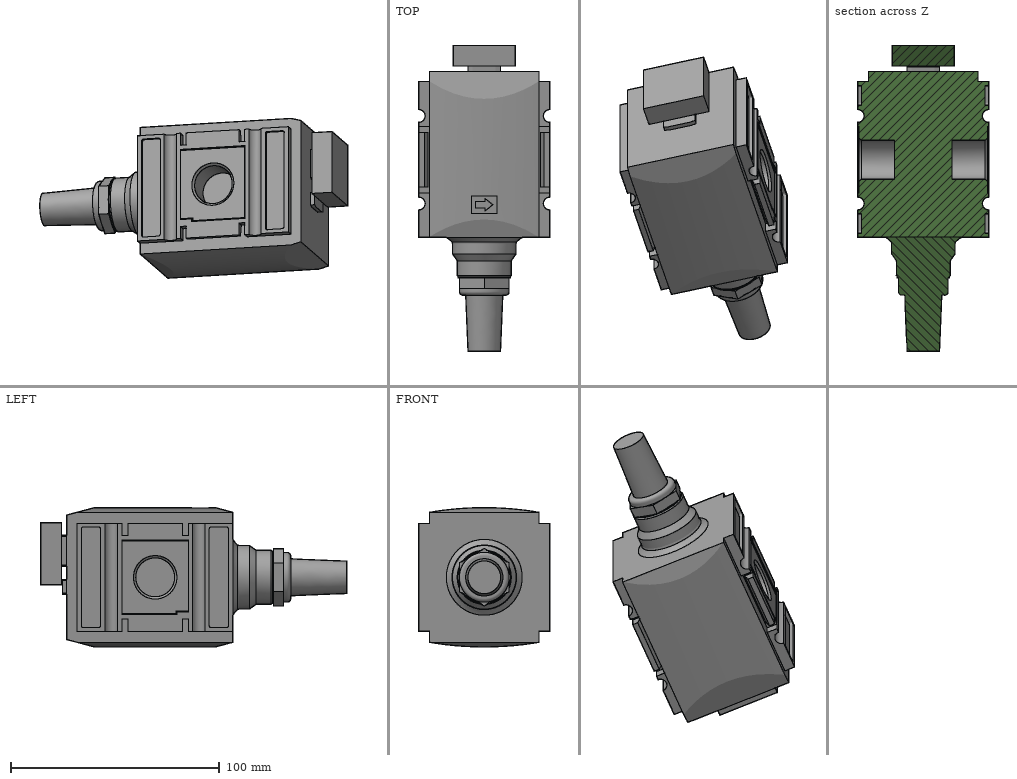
import cadquery as cq
import math


CORE_WIDTH = 52.8
CORE_HEIGHT = 62.5
HOUSING_HEIGHT = 67.1
HOUSING_LENGTH = 79.9
BEVEL_ANGLE = 15

HOUSING_WIDTH = 63.0
SLAB_LENGTH = 75.0
SLAB_HEIGHT = 51.9
SLAB_THICKNESS = (HOUSING_WIDTH - CORE_WIDTH) / 2
FACE_X = HOUSING_WIDTH / 2
PORT_Y = 37.4

GROOVE_DIAMETER = 6.0
GROOVE_SPACING = 42.0

END_POCKET_LENGTH = 9.3
END_POCKET_HEIGHT = 48.4
END_POCKET_SPACING = 61.5
END_POCKET_DEPTH = 1.8
END_POCKET_CORNER = 1.0

CLIP_LENGTH = 31.9
CLIP_SLOT_WIDTH = 2.8
CLIP_DEPTH = 5.9
TAB_TIP_THICKNESS = 2.6
TAB_ROOT_THICKNESS = 4.5

LABEL_HEIGHT = 35.9
LABEL_STEP_LENGTH = 5.6
LABEL_STEP_HEIGHT = 1.3
LABEL_LEDGE = 0.5
LABEL_LEDGE_DEPTH = 0.3
LABEL_DEPTH = 0.6

PORT_DIAMETER = 18.7
PORT_MOUTH_DIAMETER = 20.9
PORT_DEPTH = 17.7

PANEL_WIDTH = 12.0
PANEL_LENGTH = 8.5
PANEL_Y = 15.7
PANEL_DEPTH = 1.6
ARROW_DEPTH = 0.6
ARROW_LENGTH = 8.2
ARROW_HEAD_LENGTH = 3.7
ARROW_HEAD_WIDTH = 5.9
ARROW_SHAFT_WIDTH = 3.1

FOOT_HEIGHT = 7.2
FOOT_Z = -4.5
FOOT_LENGTH = 2.0

PAD_WIDTH = 15.7
PAD_FLAT_WIDTH = 11.0
PAD_CORNER_HEIGHT = 0.6

FLARE_DIAMETER = 36.5
FLARE_NECK_DIAMETER = 31.0
FLARE_LENGTH = 2.2
FLARE_SAG_DIAMETER = 33.2
FLARE_SAG_LENGTH = 1.2
COLLAR_DIAMETER = 30.6
COLLAR_START = 3.1
COLLAR_END = 8.0
SHOULDER_DIAMETER = 27.0
SHOULDER_END = 10.5
SLEEVE_START = 11.2
SLEEVE_CHAMFER_START = 18.2
SLEEVE_CHAMFER_END = 19.0
SLEEVE_DIAMETER = 26.0
SLEEVE_END_DIAMETER = 25.2
NUT_SIDES = 6
NUT_FLATS = 24.0
NUT_START = 19.4
NUT_LENGTH = 5.0
BUSH_DIAMETER = 24.0
BUSH_END = 27.8
BUSH_ROUNDING = 1.8
TIP_ROOT_DIAMETER = 18.0
TIP_END_DIAMETER = 15.7
REGULATOR_LENGTH = 54.7

PLUG_SIZE = 30.0
PLUG_THICKNESS = 10.0
PLUG_Z = 11.3
NECK_LENGTH = 2.5
NECK_HEIGHT = 15.0
NECK_Z = 12.8


def box(x_range, y_range, z_range):
    """Box between the given limits."""
    size = [high - low for low, high in (x_range, y_range, z_range)]
    return cq.Workplane("XY").box(*size, centered=False).translate((x_range[0], y_range[0], z_range[0]))


def make_core():
    """Domed block: the arched cross-section trimmed by the bevelled side profile."""
    half_width = CORE_WIDTH / 2
    wall_z = CORE_HEIGHT / 2
    crown_z = HOUSING_HEIGHT / 2
    arched = (
        cq.Workplane("XZ")
        .moveTo(-half_width, -wall_z)
        .lineTo(-half_width, wall_z)
        .threePointArc((0, crown_z), (half_width, wall_z))
        .lineTo(half_width, -wall_z)
        .threePointArc((0, -crown_z), (-half_width, -wall_z))
        .close()
        .extrude(-HOUSING_LENGTH)
    )
    slope = math.tan(math.radians(BEVEL_ANGLE))
    bevel_length = (crown_z - wall_z) / slope
    rear_z = wall_z - (HOUSING_LENGTH - SLAB_LENGTH) * slope
    upper_edge = [
        (0, wall_z),
        (bevel_length, crown_z),
        (SLAB_LENGTH - bevel_length, crown_z),
        (HOUSING_LENGTH, rear_z),
    ]
    lower_edge = [(y, -z) for y, z in reversed(upper_edge)]
    bevelled = cq.Workplane("YZ").polyline(upper_edge + lower_edge).close().extrude(half_width, both=True)
    return arched.intersect(bevelled)


def make_clip_cut():
    """Slots at both ends of the upper tab, and the wedge-shaped gap behind it."""
    top_z = SLAB_HEIGHT / 2
    floor_z = top_z - CLIP_DEPTH
    inner_x = CORE_WIDTH / 2
    gap = (
        cq.Workplane("XZ")
        .polyline([
            (inner_x, top_z),
            (FACE_X - TAB_TIP_THICKNESS, top_z),
            (FACE_X - TAB_ROOT_THICKNESS, floor_z),
            (inner_x, floor_z),
        ])
        .close()
        .extrude(CLIP_LENGTH / 2, both=True)
        .translate((0, PORT_Y, 0))
    )
    slot_offset = (CLIP_LENGTH - CLIP_SLOT_WIDTH) / 2
    for side in (-1, 1):
        slot_y = PORT_Y + side * slot_offset
        y_range = (slot_y - CLIP_SLOT_WIDTH / 2, slot_y + CLIP_SLOT_WIDTH / 2)
        gap = gap.union(box((inner_x, FACE_X), y_range, (floor_z, top_z)))
    return gap


def make_label_cut(ledge, depth):
    """Recess with a stepped lower corner, its top and bottom edges moved inward by the ledge."""
    front_y = PORT_Y - CLIP_LENGTH / 2
    rear_y = front_y + CLIP_LENGTH
    top_z = LABEL_HEIGHT / 2 - ledge
    step_y = front_y + LABEL_STEP_LENGTH + ledge
    step_z = LABEL_STEP_HEIGHT - top_z
    outline = [
        (front_y, top_z),
        (rear_y, top_z),
        (rear_y, -top_z),
        (step_y, -top_z),
        (step_y, step_z),
        (front_y, step_z),
    ]
    return cq.Workplane("YZ", origin=(FACE_X, 0, 0)).polyline(outline).close().extrude(-depth)


def make_slab():
    """Side slab on the +X wall, with grooves, pockets, clip tabs and label recess."""
    half_height = SLAB_HEIGHT / 2
    slab = box((FACE_X - SLAB_THICKNESS, FACE_X), (0, SLAB_LENGTH), (-half_height, half_height))
    grooves = (
        cq.Workplane("XY")
        .pushPoints([(FACE_X, PORT_Y + side * GROOVE_SPACING / 2) for side in (-1, 1)])
        .circle(GROOVE_DIAMETER / 2)
        .extrude(SLAB_HEIGHT, both=True)
    )
    end_pockets = (
        cq.Workplane("YZ", origin=(FACE_X, 0, 0))
        .pushPoints([(SLAB_LENGTH / 2 + side * END_POCKET_SPACING / 2, 0) for side in (-1, 1)])
        .rect(END_POCKET_LENGTH, END_POCKET_HEIGHT)
        .extrude(-END_POCKET_DEPTH)
        .edges("|X")
        .fillet(END_POCKET_CORNER)
    )
    clip_cut = make_clip_cut()
    return (
        slab.cut(grooves)
        .cut(end_pockets)
        .cut(clip_cut)
        .cut(clip_cut.mirror("XY"))
        .cut(make_label_cut(0, LABEL_LEDGE_DEPTH))
        .cut(make_label_cut(LABEL_LEDGE, LABEL_DEPTH))
    )


def make_port_cut():
    """Blind port with a chamfered mouth, opening through the +X slab."""
    floor_x = FACE_X - LABEL_DEPTH
    radius = PORT_DIAMETER / 2
    mouth_radius = PORT_MOUTH_DIAMETER / 2
    return (
        cq.Workplane("XY")
        .polyline([
            (FACE_X - PORT_DEPTH, 0),
            (FACE_X - PORT_DEPTH, radius),
            (floor_x - (mouth_radius - radius), radius),
            (floor_x, mouth_radius),
            (floor_x, 0),
        ])
        .close()
        .revolve(360, (0, 0, 0), (1, 0, 0))
        .translate((0, PORT_Y, 0))
    )


def make_arrow_cut():
    """Rectangular panel recess in the crown with a flow arrow sunk into its floor."""
    crown_z = HOUSING_HEIGHT / 2
    floor_z = crown_z - PANEL_DEPTH
    recess = box(
        (-PANEL_WIDTH / 2, PANEL_WIDTH / 2),
        (PANEL_Y - PANEL_LENGTH / 2, PANEL_Y + PANEL_LENGTH / 2),
        (floor_z, crown_z),
    )
    tail_x = -ARROW_LENGTH / 2
    tip_x = ARROW_LENGTH / 2
    neck_x = tip_x - ARROW_HEAD_LENGTH
    half_shaft = ARROW_SHAFT_WIDTH / 2
    half_head = ARROW_HEAD_WIDTH / 2
    arrow = (
        cq.Workplane("XY", origin=(0, PANEL_Y, floor_z))
        .polyline([
            (tail_x, -half_shaft),
            (neck_x, -half_shaft),
            (neck_x, -half_head),
            (tip_x, 0),
            (neck_x, half_head),
            (neck_x, half_shaft),
            (tail_x, half_shaft),
        ])
        .close()
        .extrude(-ARROW_DEPTH)
    )
    return recess.union(arrow)


def make_pad(start_y, middle_z, height, length):
    """Bar along +Y whose rectangular section has its four corners cut away."""
    half_width = PAD_WIDTH / 2
    half_flat = PAD_FLAT_WIDTH / 2
    half_height = height / 2
    shoulder = half_height - PAD_CORNER_HEIGHT
    return (
        cq.Workplane("XZ", origin=(0, start_y, middle_z))
        .polyline([
            (-half_width, -shoulder),
            (-half_width, shoulder),
            (-half_flat, half_height),
            (half_flat, half_height),
            (half_width, shoulder),
            (half_width, -shoulder),
            (half_flat, -half_height),
            (-half_flat, -half_height),
        ])
        .close()
        .extrude(-length)
    )


def make_housing():
    """Core with matching slabs and ports on both sides, and a foot on the rear face."""
    slab = make_slab()
    foot = make_pad(HOUSING_LENGTH, FOOT_Z, FOOT_HEIGHT, FOOT_LENGTH)
    port_cut = make_port_cut()
    return (
        make_core()
        .union(slab)
        .union(slab.mirror("YZ"))
        .union(foot)
        .cut(port_cut)
        .cut(port_cut.mirror("YZ"))
        .cut(make_arrow_cut())
    )


def make_regulator():
    """Turned body with a hexagon nut and a tapered tip, pointing along -Y."""
    flare_middle = (FLARE_SAG_DIAMETER / 2, -FLARE_SAG_LENGTH)
    collar_radius = COLLAR_DIAMETER / 2
    sleeve_radius = SLEEVE_DIAMETER / 2
    sleeve_end_radius = SLEEVE_END_DIAMETER / 2
    bush_radius = BUSH_DIAMETER / 2
    bush_face_radius = bush_radius - BUSH_ROUNDING
    rounding_start = BUSH_END - BUSH_ROUNDING
    rounding_diagonal = BUSH_ROUNDING * math.sqrt(0.5)
    rounding_middle = (bush_face_radius + rounding_diagonal, -rounding_start - rounding_diagonal)
    turned = (
        cq.Workplane("XY")
        .moveTo(0, 0)
        .lineTo(FLARE_DIAMETER / 2, 0)
        .threePointArc(flare_middle, (FLARE_NECK_DIAMETER / 2, -FLARE_LENGTH))
        .lineTo(collar_radius, -COLLAR_START)
        .lineTo(collar_radius, -COLLAR_END)
        .lineTo(SHOULDER_DIAMETER / 2, -SHOULDER_END)
        .lineTo(sleeve_radius, -SLEEVE_START)
        .lineTo(sleeve_radius, -SLEEVE_CHAMFER_START)
        .lineTo(sleeve_end_radius, -SLEEVE_CHAMFER_END)
        .lineTo(sleeve_end_radius, -NUT_START)
        .lineTo(bush_radius, -NUT_START)
        .lineTo(bush_radius, -rounding_start)
        .threePointArc(rounding_middle, (bush_face_radius, -BUSH_END))
        .lineTo(TIP_ROOT_DIAMETER / 2, -BUSH_END)
        .lineTo(TIP_END_DIAMETER / 2, -REGULATOR_LENGTH)
        .lineTo(0, -REGULATOR_LENGTH)
        .close()
        .revolve(360, (0, 0, 0), (0, 1, 0))
    )
    half_sector = 180 / NUT_SIDES
    corner_diameter = NUT_FLATS / math.cos(math.radians(half_sector))
    nut = (
        cq.Workplane("XZ", origin=(0, -NUT_START, 0))
        .polygon(NUT_SIDES, corner_diameter)
        .extrude(NUT_LENGTH)
        .rotate((0, 0, 0), (0, 1, 0), half_sector)
    )
    return turned.union(nut)


def make_plug():
    """Square plate on a short neck whose corners are cut away, behind the housing."""
    neck = make_pad(HOUSING_LENGTH, NECK_Z, NECK_HEIGHT, NECK_LENGTH)
    plate = (
        cq.Workplane("XZ", origin=(0, HOUSING_LENGTH + NECK_LENGTH, PLUG_Z))
        .rect(PLUG_SIZE, PLUG_SIZE)
        .extrude(-PLUG_THICKNESS)
    )
    return neck.union(plate)


housing = make_housing()
regulator = make_regulator()
plug = make_plug()

result = cq.Compound.makeCompound([housing.val(), regulator.val(), plug.val()])